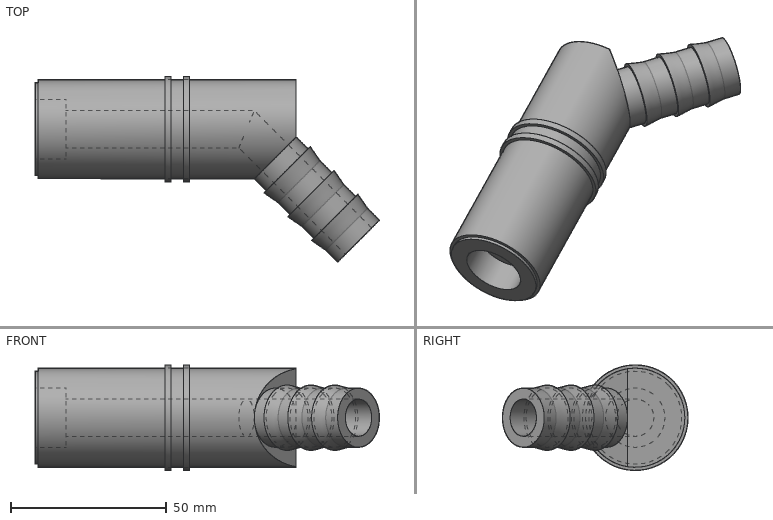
import cadquery as cq
import math

overall_length = 110.9

body_radius = 16.0
spigot_radius = 15.0
spigot_length = 1.0

bend_angle = 45.0
nozzle_length = 37.9
nozzle_radius = 9.5
barb_radius = 10.5
barb_count = 3
barb_length = nozzle_length / (2 * barb_count + 1)

bore_radius = 6.0
socket_radius = 9.5
socket_depth = 10.0

ring_diameter = 34.0
ring_radius = ring_diameter / 2
ring_width = 2.0
ring_pitch = 6.0
first_ring_start = 41.8
ring_count = 2

bend = math.radians(bend_angle)
body_length = overall_length - nozzle_length * math.cos(bend)
nozzle_direction = cq.Vector(math.cos(bend), -math.sin(bend), 0)
nozzle_base = cq.Vector(
    body_length - nozzle_radius * math.sin(bend),
    -body_radius + nozzle_radius * math.cos(bend),
    0,
)
base_to_bend = -nozzle_base.y / math.sin(bend)
bend_point = nozzle_base - nozzle_direction * base_to_bend


def nozzle_plane(origin):
    """Plane with its X along the nozzle axis and its Y square to it."""
    return cq.Plane(origin=origin, xDir=nozzle_direction, normal=(0, 0, 1))


def make_tube():
    """Stepped cylinder with the corner under the nozzle cut away."""
    spigot = cq.Workplane("YZ").circle(spigot_radius).extrude(spigot_length)
    barrel = (
        cq.Workplane("YZ", origin=(spigot_length, 0, 0))
        .circle(body_radius)
        .extrude(body_length - spigot_length)
    )
    tube = spigot.union(barrel)
    cutter_size = 2 * body_length
    corner = (
        cq.Workplane(nozzle_plane(nozzle_base))
        .center(cutter_size / 2, 0)
        .box(cutter_size, cutter_size, cutter_size)
    )
    return tube.cut(corner)


def make_nozzle():
    """Plain pipe with tapered barbs separated by equal plain stretches."""
    profile = cq.Workplane(nozzle_plane(nozzle_base)).lineTo(0, nozzle_radius)
    for barb in range(barb_count):
        barb_start = (2 * barb + 1) * barb_length
        profile = (
            profile.lineTo(barb_start, nozzle_radius)
            .lineTo(barb_start, barb_radius)
            .lineTo(barb_start + barb_length, nozzle_radius)
        )
    profile = profile.lineTo(nozzle_length, nozzle_radius).lineTo(nozzle_length, 0).close()
    return profile.revolve(360, (0, 0, 0), (1, 0, 0))


def make_passage():
    """Entry socket and a round bore that follows the bend with a mitred corner."""
    socket = cq.Workplane("YZ").circle(socket_radius).extrude(socket_depth)
    nozzle_tip = nozzle_base + nozzle_direction * nozzle_length
    bore_path = (
        cq.Workplane("XY")
        .moveTo(0, 0)
        .lineTo(bend_point.x, bend_point.y)
        .lineTo(nozzle_tip.x, nozzle_tip.y)
    )
    bore = cq.Workplane("YZ").circle(bore_radius).sweep(bore_path, transition="right")
    return socket.union(bore)


def make_ring(start):
    """Flat band seated on the outside of the tube."""
    return (
        cq.Workplane("YZ", origin=(start, 0, 0))
        .circle(ring_radius)
        .circle(body_radius)
        .extrude(ring_width)
    )


housing = make_tube().union(make_nozzle()).cut(make_passage())
rings = [make_ring(first_ring_start + index * ring_pitch) for index in range(ring_count)]

result = cq.Compound.makeCompound([housing.val(), *[ring.val() for ring in rings]])